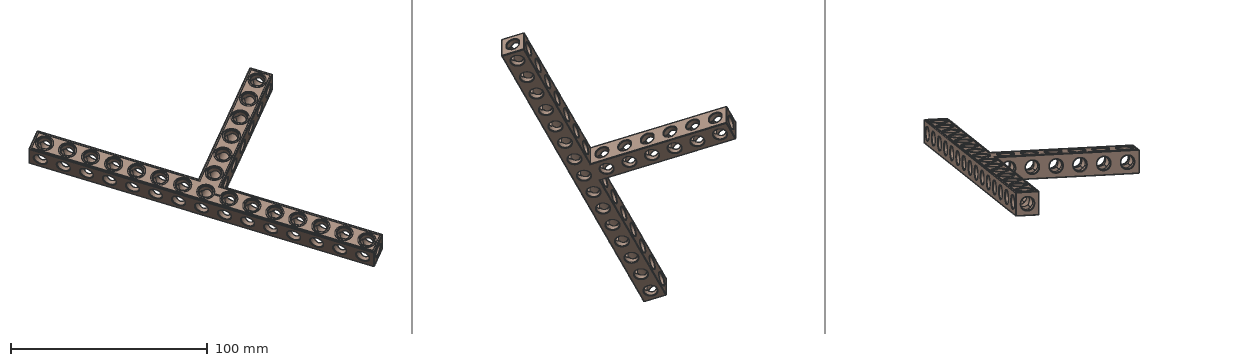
import cadquery as cq


bar_length = 187.5
bar_holes = 15
leg_holes = 6
hole_diameter = 7.0
hole_chamfer = 0.4
edge_chamfer = 0.4
rim_width = 1.1
panel_depth = 0.2
collar_diameter = 9.2
rib_width = 0.5

pitch = bar_length / bar_holes
half = pitch / 2
leg_end = leg_holes * pitch + half
total_depth = leg_end + half

first_hole_x = half - bar_length / 2
bar_centres = [(first_hole_x + i * pitch, 0) for i in range(bar_holes)]
leg_centres = [(0, (i + 1) * pitch) for i in range(leg_holes)]
hole_centres = bar_centres + leg_centres

X_AXIS = (1, 0, 0)
Y_AXIS = (0, 1, 0)
ORIGIN = (0, 0, 0)


def tee(inset, height):
    """T-shaped plate centred on Z = 0, with its outline moved inwards by the inset."""
    width = pitch - 2 * inset
    leg_length = leg_end - inset
    bar = cq.Workplane("XY").box(bar_length - 2 * inset, width, height)
    leg = cq.Workplane("XY").box(width, leg_length, height).translate((0, leg_length / 2, 0))
    return bar.union(leg)


def beam_body():
    """Solid T with every edge chamfered except the two upright inside corners."""
    horizontal_edges = "|X or |Y"
    upright_end_edges = "|Z and (>X or <X or >Y)"
    return tee(0, pitch).edges(f"{horizontal_edges} or ({upright_end_edges})").chamfer(edge_chamfer)


def top_panel():
    """Shallow recess cutter for the top face that spares the collars and the rib."""
    panel = tee(rim_width, panel_depth).translate((0, 0, half - panel_depth / 2))
    collars = cq.Workplane("XY").pushPoints(hole_centres).circle(collar_diameter / 2).extrude(pitch)
    rib = cq.Workplane("XY").center(half, 0).rect(pitch, rib_width).extrude(pitch)
    return panel.cut(collars.union(rib))


def bore(length):
    """Cutter along Z, centred on the origin, for a through hole chamfered at both mouths."""
    radius = hole_diameter / 2
    mouth_radius = radius + hole_chamfer
    end = length / 2
    neck = end - hole_chamfer
    half_section = (
        cq.Workplane("XZ")
        .moveTo(0, -end)
        .lineTo(mouth_radius, -end)
        .lineTo(radius, -neck)
        .lineTo(radius, neck)
        .lineTo(mouth_radius, end)
        .lineTo(0, end)
        .close()
    )
    return half_section.revolve(360, ORIGIN, Y_AXIS)


def drill(body, cutter, centres):
    """Cut the same bore at each of the given XY positions."""
    for x, y in centres:
        body = body.cut(cutter.translate((x, y, 0)))
    return body


cross_bore = bore(pitch)
along_x = cross_bore.rotate(ORIGIN, Y_AXIS, 90)
along_y = cross_bore.rotate(ORIGIN, X_AXIS, 90)

bar_bore = bore(bar_length).rotate(ORIGIN, Y_AXIS, 90)
leg_bore = bore(total_depth).rotate(ORIGIN, X_AXIS, 90)
leg_bore_centre = (0, total_depth / 2 - half)

junction = bar_holes // 2
bar_side_centres = bar_centres[:junction] + bar_centres[junction + 1:]

result = beam_body().cut(top_panel())
result = drill(result, cross_bore, hole_centres)
result = drill(result, along_y, bar_side_centres)
result = drill(result, along_x, leg_centres)
result = drill(result, bar_bore, [(0, 0)])
result = drill(result, leg_bore, [leg_bore_centre])